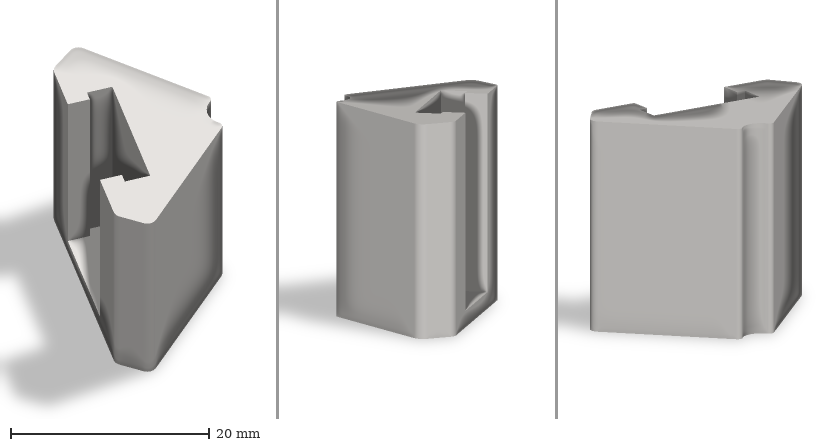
import cadquery as cq
import math

width = 25.25
depth = 14.0
height = 22.0

corner_radius = 1.0
horn_radius = 0.5
front_half_width = 10.02
bevel_angle = 51.6
widest_y = 3.05
groove_depth = 0.93

neck_width = 10.85
neck_depth = 2.32
slot_width = 12.78
slot_depth = 5.0
floor_thickness = 1.7


def on_circle(center, radius, degrees):
    angle = math.radians(degrees)
    return (center[0] + radius * math.cos(angle), center[1] + radius * math.sin(angle))


def mirrored(point):
    return (-point[0], point[1])


def make_body():
    side_center = (width / 2 - corner_radius, widest_y)
    flank_start = on_circle(side_center, corner_radius, 45)

    horn_y = depth - horn_radius
    horn_x = sum(flank_start) - horn_radius * math.sqrt(2) - horn_y
    horn_center = (horn_x, horn_y)

    groove_bottom = depth - groove_depth
    drop = horn_y - groove_bottom
    groove_radius = (horn_x**2 + drop**2 - horn_radius**2) / (2 * (horn_radius + drop))
    groove_center_y = groove_bottom + groove_radius
    groove_angle = math.degrees(math.atan2(groove_center_y - horn_y, -horn_x))
    horn_end = on_circle(horn_center, horn_radius, groove_angle)

    bevel_normal = bevel_angle - 90
    front_center = (front_half_width, corner_radius)
    bevel_start = on_circle(front_center, corner_radius, bevel_normal)
    front_middle = on_circle(front_center, corner_radius, (bevel_normal - 90) / 2)
    bevel_end = on_circle(side_center, corner_radius, bevel_normal)
    side_middle = (width / 2, widest_y)
    horn_middle = (horn_x, depth)
    front_end = (front_half_width, 0)

    return (
        cq.Workplane("XY")
        .moveTo(*mirrored(front_end))
        .lineTo(*front_end)
        .threePointArc(front_middle, bevel_start)
        .lineTo(*bevel_end)
        .threePointArc(side_middle, flank_start)
        .lineTo(*on_circle(horn_center, horn_radius, 45))
        .threePointArc(horn_middle, horn_end)
        .threePointArc((0, groove_bottom), mirrored(horn_end))
        .threePointArc(mirrored(horn_middle), mirrored(on_circle(horn_center, horn_radius, 45)))
        .lineTo(*mirrored(flank_start))
        .threePointArc(mirrored(side_middle), mirrored(bevel_end))
        .lineTo(*mirrored(bevel_start))
        .threePointArc(mirrored(front_middle), mirrored(front_end))
        .close()
        .extrude(height)
    )


def slot_block(block_width, block_depth):
    return (
        cq.Workplane("XY", origin=(0, 0, floor_thickness))
        .rect(block_width, 2 * block_depth)
        .extrude(height - floor_thickness)
    )


def make_slot():
    wide_part = slot_block(slot_width, slot_depth).cut(slot_block(slot_width, neck_depth))
    return wide_part.union(slot_block(neck_width, slot_depth))


result = make_body().cut(make_slot())